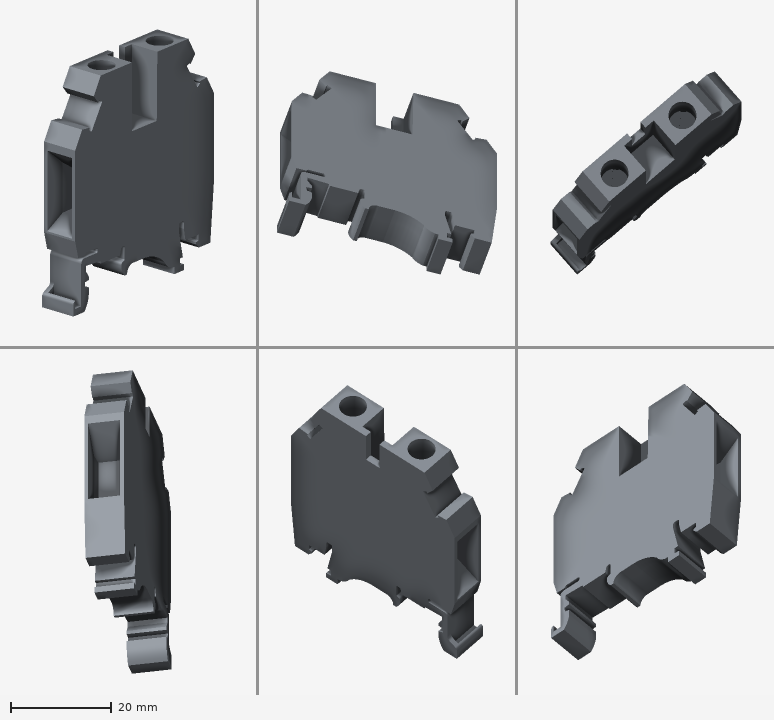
import cadquery as cq

THICKNESS = 8.15
HEIGHT = 49.1
HALF_LENGTH = 21.45
LATCH_REACH = 22.05
BODY_CHAMFER_Z = 15.85

WEB_SLOT_WIDTH = 3.55
WEB_SLOT_FLOOR_Z = 42.2
WEB_THICKNESS = 1.5
RECESS_STRAIGHT_Y = -3.9
RECESS_TOP_Y = 4.0
RECESS_FLOOR_Y = 3.8
RECESS_FLOOR_Z = 34.35

SCREW_X = 4.5
SCREW_Y = 9.0
SCREW_RADIUS = 2.8
SCREW_HEAD_Z = 39.3
DRIVER_SLOT_WIDTH = 1.1
DRIVER_SLOT_DEPTH = 1.0

FUNNEL_DEPTH = 6.65
FUNNEL_MOUTH_X = (0.85, 7.35)
FUNNEL_MOUTH_Z = (16.3, 33.55)
FUNNEL_END_X = (2.45, 6.8)
FUNNEL_END_Z = (19.9, 28.1)
FUNNEL_TAPER_START = (4.75, 5.4)

LATCH_WALL_Y = -19.6
LATCH_RAMP_TOP_Z = 4.2
LATCH_TOE_Z = 2.9
LATCH_RAMP_FILLET = 1.1
LATCH_TOE_FILLET = 0.75
LATCH_BEND_FILLET = 0.95
LATCH_RIB_THICKNESS = 1.1
LATCH_LIP_WIDTH = 0.6
LATCH_TROUGH_FLOOR_Z = 1.45

SLIT_TOP_Z = 10.5
SLIT_FILLET = 0.45
HOOK_ROOT_FILLET = 0.25
HOOK_NOSE_FILLET = 0.65

ARM_GAP_END_Y = -14.5
ARM_GAP_TOP_Z = 12.55
ARM_TOP_Z = 11.5
ARM_GAP_FILLET = 0.4

SHOULDER = [
    (HALF_LENGTH, 35.3),
    (19.3, 39.2),
    (17.0, 38.95),
    (17.25, 38.5),
    (16.4, 37.9),
    (13.1, 43.35),
    (14.05, 43.9),
    (14.3, 43.5),
    (15.7, 45.25),
    (13.55, HEIGHT),
]


def housing_blank():
    """Extrude the side outline over the full thickness, with its small corner fillets."""
    other_shoulder = [(-y, z) for y, z in reversed(SHOULDER)]
    outline = (
        cq.Workplane("YZ")
        .moveTo(HALF_LENGTH, BODY_CHAMFER_Z)
        .polyline(SHOULDER + other_shoulder, includeCurrent=True)
        .lineTo(-HALF_LENGTH, BODY_CHAMFER_Z)
        .lineTo(-20.5, 12.1)
        .lineTo(-18.45, 12.1)
        .lineTo(-18.05, ARM_GAP_TOP_Z)
        .lineTo(ARM_GAP_END_Y, ARM_GAP_TOP_Z)
        .lineTo(ARM_GAP_END_Y, ARM_TOP_Z)
        .lineTo(LATCH_WALL_Y, ARM_TOP_Z)
        .lineTo(LATCH_WALL_Y, LATCH_RAMP_TOP_Z)
        .lineTo(-LATCH_REACH, LATCH_TOE_Z)
        .lineTo(-LATCH_REACH, 0)
        .lineTo(-18.6, 0)
        .threePointArc((-17.7, 1.55), (-17.25, 3.45))
        .lineTo(-17.25, 4.85)
        .lineTo(-18.3, 5.15)
        .lineTo(-18.5, 6.3)
        .lineTo(-17.25, 6.45)
        .lineTo(-17.25, 7.15)
        .lineTo(-18.15, 8.6)
        .lineTo(-18.15, 9.7)
        .lineTo(-13.65, 9.45)
        .lineTo(-13.5, 8.9)
        .lineTo(-7.6, 8.9)
        .lineTo(-7.2, SLIT_TOP_Z)
        .lineTo(-6.15, SLIT_TOP_Z)
        .lineTo(-6.15, 7.5)
        .lineTo(-7.15, 7.05)
        .lineTo(-7.15, 6.6)
        .threePointArc((-6.85, 5.2), (-6.15, 4.15))
        .lineTo(-5.35, 4.15)
        .lineTo(-5.35, 4.6)
        .threePointArc((-4.75, 5.65), (-3.25, 6.15))
        .lineTo(0.1, 6.15)
        .threePointArc((3.3, 5.45), (6.25, 3.45))
        .threePointArc((7.1, 2.3), (8.5, 1.55))
        .lineTo(9.25, 1.55)
        .lineTo(9.25, 0)
        .lineTo(12.2, 0)
        .lineTo(12.2, 1.3)
        .lineTo(10.95, 1.37)
        .lineTo(10.95, 2.85)
        .lineTo(11.9, 2.85)
        .lineTo(10.6, 8.85)
        .lineTo(10.6, SLIT_TOP_Z)
        .lineTo(12.2, SLIT_TOP_Z)
        .lineTo(12.2, 8.85)
        .lineTo(12.65, 6.3)
        .lineTo(16.75, 6.3)
        .lineTo(16.75, 5.05)
        .lineTo(16.0, 4.85)
        .lineTo(16.0, 4.35)
        .lineTo(16.85, 3.5)
        .lineTo(20.4, 3.5)
        .close()
    )
    blank = outline.extrude(THICKNESS)
    corner_fillets = [
        (10.6, SLIT_TOP_Z, SLIT_FILLET),
        (12.2, SLIT_TOP_Z, SLIT_FILLET),
        (-6.15, SLIT_TOP_Z, SLIT_FILLET),
        (-7.2, SLIT_TOP_Z, SLIT_FILLET),
        (-6.15, 7.5, HOOK_ROOT_FILLET),
        (-7.15, 7.05, HOOK_NOSE_FILLET),
        (ARM_GAP_END_Y, ARM_GAP_TOP_Z, ARM_GAP_FILLET),
        (ARM_GAP_END_Y, ARM_TOP_Z, ARM_GAP_FILLET),
        (LATCH_WALL_Y, ARM_TOP_Z, LATCH_BEND_FILLET),
        (LATCH_WALL_Y, LATCH_RAMP_TOP_Z, LATCH_RAMP_FILLET),
        (-LATCH_REACH, LATCH_TOE_Z, LATCH_TOE_FILLET),
    ]
    for y, z, radius in corner_fillets:
        corner = cq.selectors.NearestToPointSelector((THICKNESS / 2, y, z))
        blank = blank.edges("|X").edges(corner).fillet(radius)
    return blank


def box_between(x_range, y_range, z_range):
    """Box that spans the given (low, high) range along each axis."""
    lows, highs = zip(x_range, y_range, z_range)
    sizes = [high - low for low, high in zip(lows, highs)]
    return cq.Workplane("XY").box(*sizes, centered=False).translate(lows)


def middle_recess():
    """Narrow slot through the side web plus the wide recess open to the +X side."""
    web_slot = box_between(
        (0, THICKNESS),
        (-WEB_SLOT_WIDTH / 2, WEB_SLOT_WIDTH / 2),
        (WEB_SLOT_FLOOR_Z, HEIGHT),
    )
    recess = (
        cq.Workplane("YZ", origin=(WEB_THICKNESS, 0, 0))
        .moveTo(RECESS_STRAIGHT_Y, HEIGHT)
        .lineTo(RECESS_STRAIGHT_Y, RECESS_FLOOR_Z)
        .lineTo(RECESS_FLOOR_Y, RECESS_FLOOR_Z)
        .lineTo(RECESS_TOP_Y, HEIGHT)
        .close()
        .extrude(THICKNESS - WEB_THICKNESS)
    )
    return web_slot.union(recess)


def screw_well(y):
    """Round well down to a screw head with a driver slot turned 45 degrees."""
    well_depth = HEIGHT - SCREW_HEAD_Z
    well = cq.Workplane("XY").circle(SCREW_RADIUS).extrude(well_depth)
    slot_blank = cq.Workplane("XY").circle(SCREW_RADIUS).extrude(-DRIVER_SLOT_DEPTH)
    slot_bar = (
        cq.Workplane("XY")
        .rect(2 * SCREW_RADIUS, DRIVER_SLOT_WIDTH)
        .extrude(-DRIVER_SLOT_DEPTH)
        .rotate((0, 0, 0), (0, 0, 1), -45)
    )
    driver_slot = slot_blank.intersect(slot_bar)
    return well.union(driver_slot).translate((SCREW_X, y, SCREW_HEAD_Z))


def wire_funnel():
    """Funnel in the -Y end face: roof and floor slope all the way, sides close in near the end."""
    mouth_y = -HALF_LENGTH
    end_y = mouth_y + FUNNEL_DEPTH
    side_profile = (
        cq.Workplane("YZ")
        .moveTo(mouth_y, FUNNEL_MOUTH_Z[0])
        .lineTo(end_y, FUNNEL_END_Z[0])
        .lineTo(end_y, FUNNEL_END_Z[1])
        .lineTo(mouth_y, FUNNEL_MOUTH_Z[1])
        .close()
        .extrude(THICKNESS)
    )
    plan_profile = (
        cq.Workplane("XY")
        .moveTo(FUNNEL_MOUTH_X[0], mouth_y)
        .lineTo(FUNNEL_MOUTH_X[0], mouth_y + FUNNEL_TAPER_START[0])
        .lineTo(FUNNEL_END_X[0], end_y)
        .lineTo(FUNNEL_END_X[1], end_y)
        .lineTo(FUNNEL_MOUTH_X[1], mouth_y + FUNNEL_TAPER_START[1])
        .lineTo(FUNNEL_MOUTH_X[1], mouth_y)
        .close()
        .extrude(HEIGHT)
    )
    return side_profile.intersect(plan_profile)


def latch_trough():
    """Trough behind the latch lip, leaving a thin ramp rib on the -X side."""
    return box_between(
        (LATCH_RIB_THICKNESS, THICKNESS),
        (LATCH_LIP_WIDTH - LATCH_REACH, LATCH_WALL_Y),
        (LATCH_TROUGH_FLOOR_Z, LATCH_RAMP_TOP_Z + LATCH_RAMP_FILLET),
    )


result = housing_blank().cut(middle_recess()).cut(latch_trough())
for well_y in (-SCREW_Y, SCREW_Y):
    result = result.cut(screw_well(well_y))
funnel = wire_funnel()
result = result.cut(funnel).cut(funnel.mirror("XZ"))